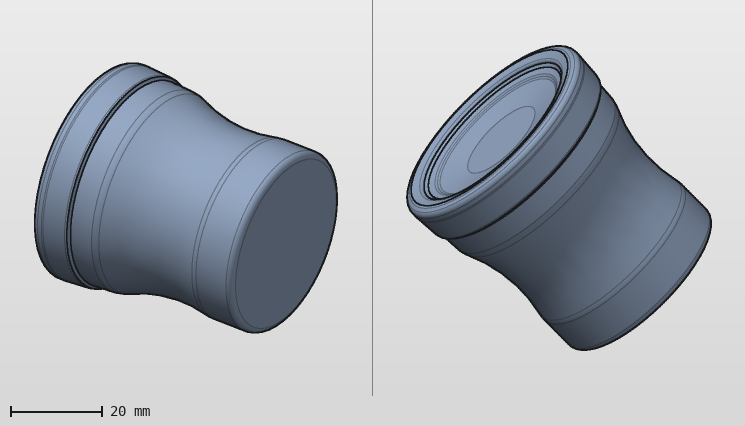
import cadquery as cq

length = 50.0

ring_radius = 25.0
ring_crest_x = 1.6
ring_band_start_x = 2.6
ring_taper_start_x = 3.0
ring_taper_start_radius = 24.95
ring_taper_end_x = 8.45
ring_taper_end_radius = 24.6
ring_corner_x = 9.0
ring_corner_radius = 24.45
ring_end_x = 9.5

rim_corner_x = 0.45
rim_corner_radius = 24.3
rim_blend = (0.85, 24.75)
rim_edge_x = 0.1
rim_edge_radius = 23.4
rim_front_radius = 22.8
lip_x = 0.5
lip_radius = 20.8
lip_rounding = 0.7
lip_inner_x = lip_x + lip_rounding
lip_inner_radius = lip_radius - lip_rounding

joint_x = 1.7
joint_radius = 19.3

step_x = 2.1
step_radius = 17.8
step_mid_x = 2.4
step_mid_radius = 17.3
dish_x = 2.65
dish_radius = 16.8
floor_x = 3.8
floor_radius = 9.8

shoulder_radius = 23.75
shoulder_end_x = 14.75
shoulder_end_radius = 23.45
shoulder_blend = (15.65, 23.3)
neck_start_x = 16.4
neck_start_radius = 23.05
neck_x = 30.35
neck_radius = 20.0
neck_end_x = 39.4
neck_end_radius = 20.85
barrel_blend = (40.0, 20.95)
barrel_x = 40.6
barrel_radius = 42.0 / 2
end_rounding = 1.5


def revolve_about_x(profile):
    return profile.close().revolve(360, (0, 0, 0), (1, 0, 0))


def make_body():
    profile = (
        cq.Workplane("XY")
        .moveTo(floor_x, 0)
        .lineTo(floor_x, floor_radius)
        .lineTo(dish_x, dish_radius)
        .lineTo(step_mid_x, step_mid_radius)
        .lineTo(step_x, step_radius)
        .lineTo(joint_x, joint_radius)
        .lineTo(ring_end_x, joint_radius)
        .lineTo(ring_end_x, shoulder_radius)
    )
    profile = (
        profile.lineTo(shoulder_end_x, shoulder_end_radius)
        .threePointArc(shoulder_blend, (neck_start_x, neck_start_radius))
        .threePointArc((neck_x, neck_radius), (neck_end_x, neck_end_radius))
        .threePointArc(barrel_blend, (barrel_x, barrel_radius))
        .lineTo(length - end_rounding, barrel_radius)
        .radiusArc((length, barrel_radius - end_rounding), end_rounding)
        .lineTo(length, 0)
    )
    return revolve_about_x(profile)


def make_ring():
    profile = (
        cq.Workplane("XY")
        .moveTo(ring_end_x, joint_radius)
        .lineTo(joint_x, joint_radius)
        .lineTo(lip_inner_x, lip_inner_radius)
        .radiusArc((lip_x, lip_radius), lip_rounding)
        .lineTo(0, rim_front_radius)
        .lineTo(rim_edge_x, rim_edge_radius)
        .lineTo(rim_corner_x, rim_corner_radius)
        .threePointArc(rim_blend, (ring_crest_x, ring_radius))
    )
    profile = (
        profile.lineTo(ring_band_start_x, ring_radius)
        .lineTo(ring_taper_start_x, ring_taper_start_radius)
        .lineTo(ring_taper_end_x, ring_taper_end_radius)
        .lineTo(ring_corner_x, ring_corner_radius)
        .lineTo(ring_end_x, shoulder_radius)
    )
    return revolve_about_x(profile)


body = make_body()
ring = make_ring()
result = cq.Compound.makeCompound([body.val(), ring.val()])